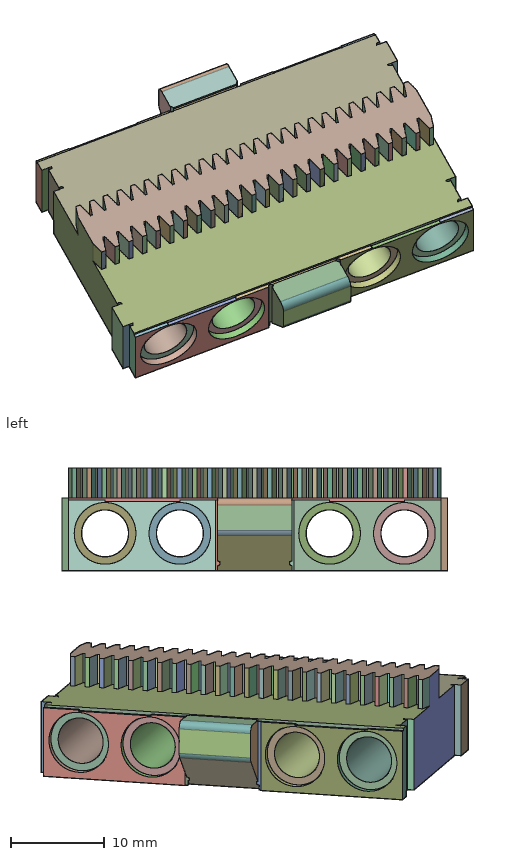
import cadquery as cq
BODY_WIDTH = 25.38
BODY_LENGTH = 39.8
BODY_HEIGHT = 7.8
OVERALL_LENGTH = 41.2
OVERALL_WIDTH = 31.8
OVERALL_HEIGHT = 11.0

HOLE_PITCH = 8.0
HOLE_DIAMETER = 5.0
COUNTERBORE_DIAMETER = 6.6
COUNTERBORE_DEPTH = 0.8
HOLE_HEIGHT = 4.0

LEDGE_WIDTH = 0.37
LEDGE_DROP = 0.25
DEEP_LEDGE_DROP = 0.37

LUG_LENGTH = 7.9
LUG_BASE_HEIGHT = 0.8
LUG_FILLET = 0.8

TAB_OFFSET = 9.65
TAB_WIDTH = 2.8
SOCKET_WIDTH = 3.05
TAB_REACH = (OVERALL_LENGTH - BODY_LENGTH) / 2
RELIEF_DEPTH = 0.45

RELIEF_RADIUS = 0.25

TEETH = 25
TOOTH_PITCH = 1.6
TOOTH_TIP_WIDTH = 0.5
TOOTH_GAP_WIDTH = 0.2
RACK_WIDTH = 6.55
RACK_CORE_WIDTH = 3.15

HALF_WIDTH = BODY_WIDTH / 2
HALF_LENGTH = BODY_LENGTH / 2


def block(x_start, x_end, y_start, y_end, z_start=0.0, z_end=BODY_HEIGHT):
    """Axis-aligned box given by its limits."""
    size = (x_end - x_start, y_end - y_start, z_end - z_start)
    return cq.Workplane().box(*size, centered=False).translate((x_start, y_start, z_start))


def turned(shape):
    """The shape turned half a revolution about the vertical axis."""
    return shape.rotate((0, 0, 0), (0, 0, 1), 180)


def lug():
    """Lug on the -X side with a sloping underside and rounded outer edges."""
    outer_x = -OVERALL_WIDTH / 2
    slope_run = -HALF_WIDTH - outer_x
    outline = [
        (-HALF_WIDTH, BODY_HEIGHT),
        (outer_x, BODY_HEIGHT),
        (outer_x, LUG_BASE_HEIGHT + slope_run),
        (-HALF_WIDTH, LUG_BASE_HEIGHT),
    ]
    solid = cq.Workplane("XZ").polyline(outline).close().extrude(LUG_LENGTH / 2, both=True)
    return solid.faces("<X").edges("|Y").fillet(LUG_FILLET)


def lug_undercut():
    """Wedge that carries the 45 degree lug underside on into the -X bottom edge of the block."""
    outline = [
        (-HALF_WIDTH, 0),
        (-HALF_WIDTH, LUG_BASE_HEIGHT),
        (-HALF_WIDTH + LUG_BASE_HEIGHT, 0),
    ]
    return cq.Workplane("XZ").polyline(outline).close().extrude(LUG_LENGTH / 2, both=True)


def lug_reliefs():
    """Round corner reliefs where the -X lug meets the block."""
    corners = [(-HALF_WIDTH, side * LUG_LENGTH / 2) for side in (-1, 1)]
    return cq.Workplane().pushPoints(corners).circle(RELIEF_RADIUS).extrude(BODY_HEIGHT)


def ledges():
    """Step along the -X upper edge, deeper between the two holes of each pair."""
    inner_x = -HALF_WIDTH + LEDGE_WIDTH
    step = block(-HALF_WIDTH, inner_x, -HALF_LENGTH, HALF_LENGTH, BODY_HEIGHT - LEDGE_DROP)
    for y_start in (-2 * HOLE_PITCH, HOLE_PITCH):
        deep = block(-HALF_WIDTH, inner_x, y_start, y_start + HOLE_PITCH, BODY_HEIGHT - DEEP_LEDGE_DROP)
        step = step.union(deep)
    return step


def tab():
    """Tab on the +Y end, rooted between its two reliefs."""
    half = TAB_WIDTH / 2
    root_y = HALF_LENGTH - RELIEF_DEPTH
    return block(-TAB_OFFSET - half, -TAB_OFFSET + half, root_y, HALF_LENGTH + TAB_REACH)


def round_reliefs(centre_x, width, edge_y):
    """Pair of round reliefs sunk below an edge, centred on both sides of a given width."""
    centres = [(centre_x + side * width / 2, edge_y - RELIEF_DEPTH + RELIEF_RADIUS) for side in (-1, 1)]
    return cq.Workplane().pushPoints(centres).circle(RELIEF_RADIUS).extrude(BODY_HEIGHT)


def end_cuts():
    """Socket with corner reliefs, and the reliefs beside the tab, on the +Y end."""
    half_socket = SOCKET_WIDTH / 2
    floor_y = HALF_LENGTH - TAB_REACH
    pocket = (TAB_OFFSET - half_socket, TAB_OFFSET + half_socket)
    socket = block(*pocket, floor_y, HALF_LENGTH)
    corners = round_reliefs(TAB_OFFSET, SOCKET_WIDTH, floor_y)
    corners = corners.intersect(block(*pocket, floor_y - RELIEF_DEPTH, HALF_LENGTH))
    return socket.union(corners).union(round_reliefs(-TAB_OFFSET, TAB_WIDTH, HALF_LENGTH))


def rack():
    """Rack with matching teeth on both sides, cut off flush with the block ends."""
    tip_x = RACK_WIDTH / 2
    core_x = RACK_CORE_WIDTH / 2
    half_tip = TOOTH_TIP_WIDTH / 2
    half_base = (TOOTH_PITCH - TOOTH_GAP_WIDTH) / 2
    teeth_right = []
    for index in range(TEETH):
        y = (index - (TEETH - 1) / 2) * TOOTH_PITCH
        teeth_right += [(core_x, y - half_base), (tip_x, y - half_tip), (tip_x, y + half_tip), (core_x, y + half_base)]
    teeth_left = [(-x, y) for x, y in reversed(teeth_right)]
    toothed = cq.Workplane().polyline(teeth_right + teeth_left).close().extrude(OVERALL_HEIGHT)
    core = block(-core_x, core_x, -HALF_LENGTH, HALF_LENGTH, 0, OVERALL_HEIGHT)
    envelope = block(-tip_x, tip_x, -HALF_LENGTH, HALF_LENGTH, BODY_HEIGHT, OVERALL_HEIGHT)
    return toothed.union(core).intersect(envelope)


def cross_holes():
    """Through holes along X with a counterbore at each side."""
    centres = [(position * HOLE_PITCH, HOLE_HEIGHT) for position in (-2, -1, 1, 2)]
    side = cq.Workplane("YZ", origin=(-HALF_WIDTH, 0, 0)).pushPoints(centres)
    bores = side.circle(HOLE_DIAMETER / 2).extrude(BODY_WIDTH)
    counterbores = side.circle(COUNTERBORE_DIAMETER / 2).extrude(COUNTERBORE_DEPTH)
    return bores.union(counterbores).union(turned(counterbores))


result = block(-HALF_WIDTH, HALF_WIDTH, -HALF_LENGTH, HALF_LENGTH)
result = result.cut(end_cuts()).cut(turned(end_cuts()))
for addition in (lug(), tab()):
    result = result.union(addition).union(turned(addition))
for cut in (ledges(), lug_undercut(), lug_reliefs()):
    result = result.cut(cut).cut(turned(cut))
result = result.union(rack()).cut(cross_holes())